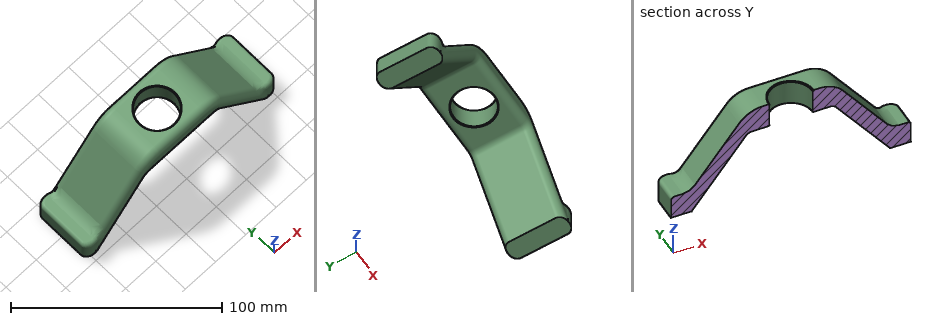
import cadquery as cq
import math

LENGTH = 126.25
WIDTH = 34.0
HEIGHT = 52.0
BRIDGE_THICKNESS = 14.0
BEND_HALF_SPAN = 22.5
FOOT_HEIGHT = 13.0
HOLE_DIAMETER = 22.5
HOLE_CHAMFER = 0.5

OUTER_BEND_RADIUS = 16.0
INNER_BEND_RADIUS = 4.0
SIDE_FILLET = 4.0
FOOT_TOP_FILLET = 2.0
FOOT_BLEND_RADIUS = 8.0

BRIDGE_UNDERSIDE = HEIGHT - BRIDGE_THICKNESS
LEG_OUTER_X = LENGTH / 2
LEG_SLOPE = HEIGHT / (LEG_OUTER_X - BEND_HALF_SPAN)
LEG_INNER_X = BEND_HALF_SPAN + BRIDGE_UNDERSIDE / LEG_SLOPE

TOLERANCE = 0.01


def bend_edges(body, height):
    """The two sharp bend edges that run across the strap at the given height."""
    def is_bend(edge):
        centre = edge.Center()
        offset = math.hypot(abs(centre.x) - BEND_HALF_SPAN, centre.z - height)
        return offset < TOLERANCE
    return body.edges("|Y").filter(is_bend)


def make_strap():
    """Bent strap of a bridge and two sloping legs, with its long side edges rounded."""
    outline = [
        (-LEG_OUTER_X, 0),
        (-BEND_HALF_SPAN, HEIGHT),
        (BEND_HALF_SPAN, HEIGHT),
        (LEG_OUTER_X, 0),
        (LEG_INNER_X, 0),
        (BEND_HALF_SPAN, BRIDGE_UNDERSIDE),
        (-BEND_HALF_SPAN, BRIDGE_UNDERSIDE),
        (-LEG_INNER_X, 0),
    ]
    strap = cq.Workplane("XZ").polyline(outline).close().extrude(WIDTH / 2, both=True)
    strap = bend_edges(strap, HEIGHT).fillet(OUTER_BEND_RADIUS)
    strap = bend_edges(strap, BRIDGE_UNDERSIDE).fillet(INNER_BEND_RADIUS)
    side_edges = strap.faces("|Y").edges()
    long_edges = side_edges.filter(lambda edge: edge.Center().z > TOLERANCE)
    return long_edges.fillet(SIDE_FILLET)


def make_foot(strap, end):
    """Foot pad: the bottom section of one leg carried straight up, its top edge rounded."""
    leg_bottom = strap.faces("<Z").faces(end).val()
    pad = cq.Solid.extrudeLinear(leg_bottom, cq.Vector(0, 0, FOOT_HEIGHT))
    return cq.Workplane(pad).faces(">Z").edges().fillet(FOOT_TOP_FILLET)


def blend_feet(body):
    """Concave blend where the top of each foot runs into the sloping outer leg face."""
    def is_junction(edge):
        centre = edge.Center()
        leg_face_x = LEG_OUTER_X - centre.z / LEG_SLOPE
        on_leg_face = abs(abs(centre.x) - leg_face_x) < TOLERANCE
        return on_leg_face and TOLERANCE < centre.z < FOOT_HEIGHT + TOLERANCE
    return body.edges("|Y").filter(is_junction).fillet(FOOT_BLEND_RADIUS)


def make_hole_cutter():
    """Vertical bore through the bridge, flared by a chamfer at each mouth."""
    bore_radius = HOLE_DIAMETER / 2
    mouth_radius = bore_radius + HOLE_CHAMFER
    half_section = [
        (0, BRIDGE_UNDERSIDE),
        (mouth_radius, BRIDGE_UNDERSIDE),
        (bore_radius, BRIDGE_UNDERSIDE + HOLE_CHAMFER),
        (bore_radius, HEIGHT - HOLE_CHAMFER),
        (mouth_radius, HEIGHT),
        (0, HEIGHT),
    ]
    section = cq.Workplane("XZ").polyline(half_section).close()
    return section.revolve(360, (0, 0, 0), (0, 1, 0))


strap = make_strap()
body = strap
for end in ("<X", ">X"):
    body = body.union(make_foot(strap, end))
body = blend_feet(body)
result = body.cut(make_hole_cutter())